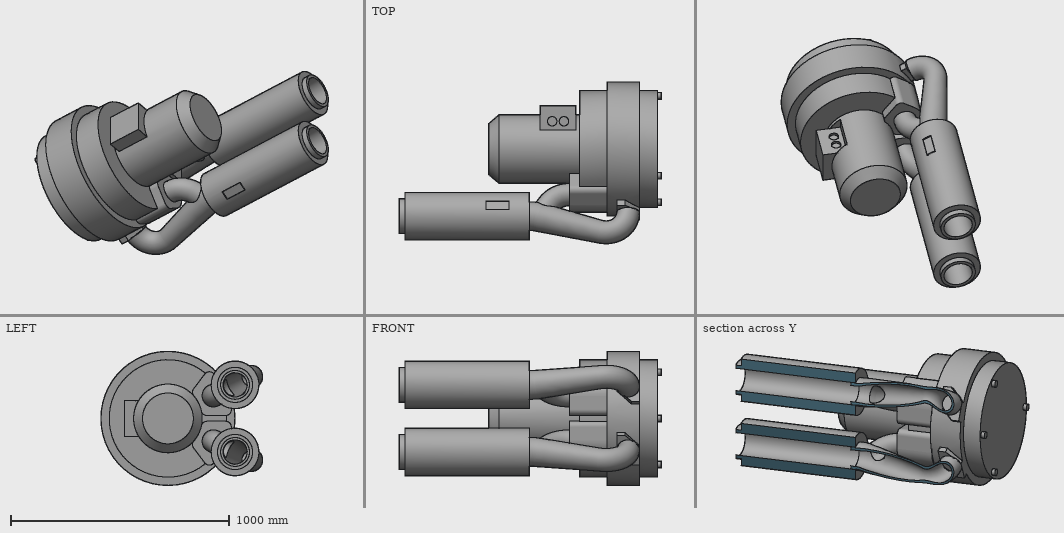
import cadquery as cq
import math

LINE_SIDES = (1, -1)
LINE_TILT = math.degrees(math.atan(0.5))

RING_RADIUS = 307.0
RING_LENGTH = 149.0
DRUM_RADIUS = 269.0
DRUM_START = -126.0
COVER_LENGTH = 83.0
COVER_FACE = RING_LENGTH + COVER_LENGTH
MOTOR_RADIUS = 157.0
MOTOR_NOSE_RADIUS = 116.0
MOTOR_START = -543.0
MOTOR_NOSE_LENGTH = 48.0

BOLT_CIRCLE_RADIUS = 244.0
BOLT_RADIUS = 16.0
BOLT_HEIGHT = 17.0
BOLT_ANGLES = (0, 120, 180, 240)

BOX_START = -306.0
BOX_LENGTH = 163.0
BOX_INNER_Y = 86.0
BOX_OUTER_Y = 199.0
BOX_HALF_HEIGHT = 82.0
ENTRY_RADIUS = 22.0
ENTRY_DEPTH = 12.0
ENTRY_SPACING = 54.0
ENTRY_Y = 127.0
ENTRY_MIDDLE_X = -225.0

BLOCK_START = -173.0
BLOCK_ROOT_RADIUS = 151.0
BLOCK_CORNER_RADIUS = 265.0
BLOCK_ROOT_HALF_WIDTH = 61.0
BLOCK_ROOT_FILLET = 26.0
BLOCK_CORNER_FILLET = 26.0
BLOCK_NOSE_FILLET = 85.0
PAD_FACE_RADIUS = 325.0
PAD_ROOT_RADIUS = 240.0
PAD_START = 46.0
PAD_HALF_WIDTH = 76.0
PAD_EDGE_LENGTH = 37.0
PAD_SHORT_SIDE = 15.0

SILENCER_Y = -RING_RADIUS
SILENCER_Z = RING_RADIUS / 2
SILENCER_RADIUS = 109.0
SILENCER_START = -926.0
SILENCER_END = -355.0
SPIGOT_RADIUS = 80.0
SPIGOT_LENGTH = 26.0
LABEL_START = -554.0
LABEL_LENGTH = 103.0
LABEL_WIDTH = 42.0
LABEL_FLOOR_RADIUS = 103.0
LABEL_TILT = 62.0

PIPE_RADIUS = 66.0
PIPE_WALL = 11.0
PIPE_INSERTION = 24.0
NECK_END = -351.0
NECK_BEND = 162.0
NECK_AXIS = math.hypot(SILENCER_Y, SILENCER_Z)
ELBOW_RADIUS = 53.0
ELBOW_BEND = 101.0
ELBOW_END_X = 96.0
BRANCH_RADIUS = 52.0
BRANCH_AXIS = 233.0
BRANCH_BEND = 115.0
BRANCH_TURN = 56.0


def cylinder(radius, start, end):
    """Cylinder about the machine axis."""
    return cq.Workplane("YZ").workplane(offset=start).circle(radius).extrude(end - start)


def tilted(body, side):
    """Turn a body from the -Y direction into the upper or lower air line."""
    return body.rotate((0, 0, 0), (1, 0, 0), -side * LINE_TILT)


def make_motor():
    outline = [
        (MOTOR_START, 0),
        (MOTOR_START, MOTOR_NOSE_RADIUS),
        (MOTOR_START + MOTOR_NOSE_LENGTH, MOTOR_RADIUS),
        (DRUM_START, MOTOR_RADIUS),
        (DRUM_START, 0),
    ]
    return cq.Workplane("XY").polyline(outline).close().revolve(360, (0, 0, 0), (1, 0, 0))


def box_space(bottom, top):
    """Block over the footprint of the terminal box."""
    return cq.Workplane("XY").box(
        BOX_LENGTH, BOX_OUTER_Y - BOX_INNER_Y, top - bottom, centered=False
    ).translate((BOX_START, BOX_INNER_Y, bottom))


def make_cable_entries():
    middles = [(ENTRY_MIDDLE_X + step * ENTRY_SPACING / 2, ENTRY_Y) for step in (-1, 1)]
    top = cq.Workplane("XY").workplane(offset=BOX_HALF_HEIGHT)
    return top.pushPoints(middles).circle(ENTRY_RADIUS).extrude(-ENTRY_DEPTH)


def make_port_block():
    """Block for the branch, on the -Y side: it flares outward, then closes to a nose at right angles."""
    flare = math.tan(math.radians(LINE_TILT))
    corner_half_width = BLOCK_ROOT_HALF_WIDTH + (BLOCK_CORNER_RADIUS - BLOCK_ROOT_RADIUS) * flare
    nose_radius = BLOCK_CORNER_RADIUS + corner_half_width * flare
    outline = [
        (-BLOCK_ROOT_RADIUS, BLOCK_ROOT_HALF_WIDTH),
        (-BLOCK_CORNER_RADIUS, corner_half_width),
        (-nose_radius, 0),
        (-BLOCK_CORNER_RADIUS, -corner_half_width),
        (-BLOCK_ROOT_RADIUS, -BLOCK_ROOT_HALF_WIDTH),
    ]
    block = cq.Workplane("YZ").workplane(offset=BLOCK_START).polyline(outline).close().extrude(-BLOCK_START)
    block = block.edges("|X").edges("<Y").fillet(BLOCK_NOSE_FILLET)
    block = block.edges("|X").edges("<Z or >Z").fillet(BLOCK_CORNER_FILLET)
    return block.edges("|X").edges(">Y").fillet(BLOCK_ROOT_FILLET)


def make_pad():
    """Six-sided pad on the ring, on the -Y side."""
    outline = [
        (PAD_START, PAD_HALF_WIDTH),
        (PAD_START + PAD_EDGE_LENGTH, PAD_HALF_WIDTH),
        (RING_LENGTH, PAD_SHORT_SIDE),
        (RING_LENGTH, -PAD_HALF_WIDTH),
        (RING_LENGTH - PAD_EDGE_LENGTH, -PAD_HALF_WIDTH),
        (PAD_START, -PAD_SHORT_SIDE),
    ]
    root = cq.Workplane("XZ").workplane(offset=PAD_ROOT_RADIUS)
    return root.polyline(outline).close().extrude(PAD_FACE_RADIUS - PAD_ROOT_RADIUS)


def make_bolts():
    cover = cq.Workplane("YZ").workplane(offset=COVER_FACE)
    places = [
        (BOLT_CIRCLE_RADIUS * math.cos(math.radians(a)), BOLT_CIRCLE_RADIUS * math.sin(math.radians(a)))
        for a in BOLT_ANGLES
    ]
    return cover.pushPoints(places).circle(BOLT_RADIUS).extrude(BOLT_HEIGHT)


def make_blower():
    blower = make_motor().cut(box_space(BOX_HALF_HEIGHT, MOTOR_RADIUS))
    blower = blower.union(box_space(-BOX_HALF_HEIGHT, BOX_HALF_HEIGHT)).cut(make_cable_entries())
    blower = blower.union(cylinder(DRUM_RADIUS, DRUM_START, COVER_FACE))
    blower = blower.union(cylinder(RING_RADIUS, 0, RING_LENGTH)).union(make_bolts())
    for side in LINE_SIDES:
        blower = blower.union(tilted(make_port_block(), side)).union(tilted(make_pad(), side))
    return blower


def make_silencer(side):
    spigot_start = SILENCER_START - SPIGOT_LENGTH
    silencer = cylinder(SILENCER_RADIUS, SILENCER_START, SILENCER_END)
    silencer = silencer.union(cylinder(SPIGOT_RADIUS, spigot_start, SILENCER_START))
    silencer = silencer.cut(cylinder(PIPE_RADIUS, spigot_start, SILENCER_END))
    label = (
        cq.Workplane("XZ").workplane(offset=-LABEL_FLOOR_RADIUS)
        .center(LABEL_START + LABEL_LENGTH / 2, 0)
        .rect(LABEL_LENGTH, LABEL_WIDTH)
        .extrude(LABEL_FLOOR_RADIUS - SILENCER_RADIUS)
        .rotate((0, 0, 0), (1, 0, 0), side * LABEL_TILT)
    )
    return silencer.cut(label).translate((0, SILENCER_Y, side * SILENCER_Z))


def leg_slope():
    """Angle of the straight leg that touches both the neck bend and the elbow."""
    across = ELBOW_END_X - ELBOW_BEND - NECK_END
    outward = PAD_FACE_RADIUS - (NECK_AXIS + NECK_BEND)
    return math.atan2(outward, across) + math.asin((ELBOW_BEND + NECK_BEND) / math.hypot(across, outward))


def make_bend(plane, start, radius, turn, center_offset, axis_sign):
    """Round bend that leaves `start` square to `plane`, turning about an axis along Z."""
    profile = cq.Workplane(plane, origin=start).circle(radius)
    return profile.revolve(turn, (center_offset, 0), (center_offset, axis_sign))


def make_pipe_shape(inset):
    """Solid neck, leg, elbow and branch on the -Y side, thinner than the outer pipe by `inset`."""
    neck_radius = PIPE_RADIUS - inset
    elbow_radius = ELBOW_RADIUS - inset
    branch_radius = BRANCH_RADIUS - inset
    slope = leg_slope()
    slope_degrees = math.degrees(slope)

    neck = cylinder(neck_radius, SILENCER_END - PIPE_INSERTION, NECK_END).translate((0, -NECK_AXIS, 0))
    neck_bend = make_bend("YZ", (NECK_END, -NECK_AXIS, 0), neck_radius, slope_degrees, -NECK_BEND, -1)

    leg_start = cq.Vector(
        NECK_END + NECK_BEND * math.sin(slope),
        -NECK_AXIS - NECK_BEND * (1 - math.cos(slope)),
        0,
    )
    leg_end = cq.Vector(
        ELBOW_END_X - ELBOW_BEND * (1 + math.sin(slope)),
        -PAD_FACE_RADIUS - ELBOW_BEND * math.cos(slope),
        0,
    )
    leg_path = leg_end - leg_start
    leg = cq.Workplane(cq.Solid.makeCone(neck_radius, elbow_radius, leg_path.Length, leg_start, leg_path))

    elbow_start = (ELBOW_END_X, -PAD_FACE_RADIUS, 0)
    elbow = make_bend("XZ", elbow_start, elbow_radius, 90 + slope_degrees, -ELBOW_BEND, -1)

    turn = math.radians(BRANCH_TURN)
    branch_start = (BLOCK_START, -BRANCH_AXIS, 0)
    branch_bend = make_bend("YZ", branch_start, branch_radius, BRANCH_TURN, -BRANCH_BEND, 1)
    stub_start = cq.Vector(
        BLOCK_START - BRANCH_BEND * math.sin(turn),
        -BRANCH_AXIS - BRANCH_BEND * (1 - math.cos(turn)),
        0,
    )
    stub_length = (NECK_AXIS + stub_start.y) / math.sin(turn)
    stub_direction = cq.Vector(-math.cos(turn), -math.sin(turn), 0)
    stub = cq.Workplane(cq.Solid.makeCylinder(branch_radius, stub_length, stub_start, stub_direction))

    shape = neck
    for piece in (neck_bend, leg, elbow, branch_bend, stub):
        shape = shape.union(piece)
    return shape


def make_pipe(side):
    return tilted(make_pipe_shape(0).cut(make_pipe_shape(PIPE_WALL)), side)


blower = make_blower()
silencers = [make_silencer(side) for side in LINE_SIDES]
pipes = [make_pipe(side) for side in LINE_SIDES]

result = cq.Compound.makeCompound(
    [blower.val(), *[silencer.val() for silencer in silencers], *[pipe.val() for pipe in pipes]]
)